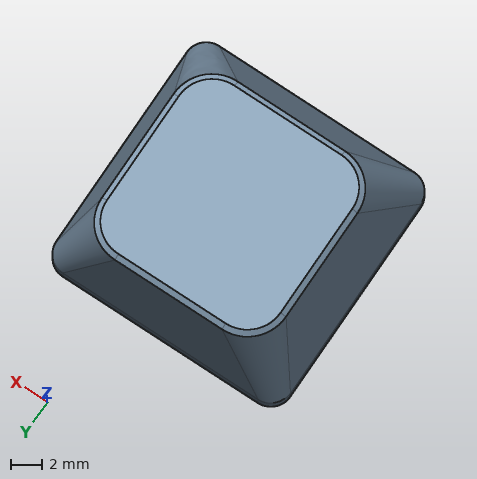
import cadquery as cq

base_size = 18.0
base_corner_radius = 1.5
skirt_height = 1.0

total_height = 9.0
bevel_height = 0.27
shoulder_size = 14.15
shoulder_corner_radius = 2.95
top_shift_y = 1.0

bevel_width = 0.4


def rounded_square(size, radius, height, shift_y=0.0):
    """Closed wire of a rounded square lying flat at the given height."""
    block = cq.Workplane("XY").box(size, size, skirt_height, centered=(True, True, False))
    outline = block.edges("|Z").fillet(radius).faces("<Z").wires().val()
    return outline.translate(cq.Vector(0, shift_y, height))


def loft_between(lower, upper):
    """Solid with straight walls from one outline to the next."""
    return cq.Workplane(cq.Solid.makeLoft([lower, upper], True))


foot = rounded_square(base_size, base_corner_radius, 0)
skirt_top = rounded_square(base_size, base_corner_radius, skirt_height)
shoulder = rounded_square(
    shoulder_size, shoulder_corner_radius, total_height - bevel_height, top_shift_y
)
crown = rounded_square(
    shoulder_size - 2 * bevel_width,
    shoulder_corner_radius - bevel_width,
    total_height,
    top_shift_y,
)

skirt = loft_between(foot, skirt_top)
body = loft_between(skirt_top, shoulder)
bevel = loft_between(shoulder, crown)

result = skirt.union(body).union(bevel)